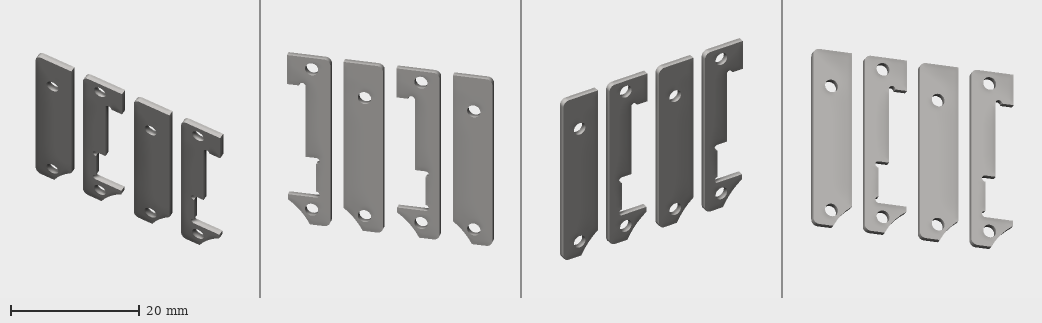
import cadquery as cq

height = 29.6
thickness = 1.0
corner_radius = 1.0
hole_diameter = 2.1
hole_x = 3.0
low_hole_z = 2.65

trim_center_x = 12.85
trim_center_z = -4.9
trim_radius = 10.75

plain_width = 6.37
plain_top_hole_z = 23.6

notched_width = 6.97
notched_top_hole_z = 27.58
foot_width = 6.85
upper_web_width = 4.0
lower_web_width = 2.28
notch_top_z = 24.45
notch_step_z = 11.92
notch_bottom_z = 4.9
relief_radius = 0.53

row_length = 33.03
notched_offset = 8.5
pair_count = 2
pair_pitch = row_length - notched_offset - notched_width


def block(x_start, x_end, z_start, z_end):
    """Full-thickness box between two X and two Z limits."""
    return cq.Workplane("XY").box(
        x_end - x_start, thickness, z_end - z_start, centered=(False, True, False)
    ).translate((x_start, 0, z_start))


def cylinder(x, z, radius):
    """Full-thickness cylinder along Y."""
    return (
        cq.Workplane("XZ", origin=(0, thickness / 2, 0))
        .center(x, z)
        .circle(radius)
        .extrude(thickness)
    )


def blank_plate(width, top_hole_z):
    """Plate with two rounded left corners, an arc-trimmed corner and two holes."""
    plate = block(0, width, 0, height).edges("|Y and <X").fillet(corner_radius)
    plate = plate.cut(cylinder(trim_center_x, trim_center_z, trim_radius))
    for hole_z in (low_hole_z, top_hole_z):
        plate = plate.cut(cylinder(hole_x, hole_z, hole_diameter / 2))
    return plate


def plain_plate():
    return blank_plate(plain_width, plain_top_hole_z)


def notched_plate():
    plate = blank_plate(notched_width, notched_top_hole_z)
    plate = plate.cut(block(upper_web_width, notched_width, notch_step_z, notch_top_z))
    plate = plate.cut(block(lower_web_width, notched_width, notch_bottom_z, notch_step_z))
    plate = plate.cut(block(foot_width, notched_width, 0, notch_bottom_z))
    relief_centers = (
        (upper_web_width + relief_radius, notch_top_z),
        (lower_web_width, notch_step_z - relief_radius),
        (lower_web_width, notch_bottom_z + relief_radius),
    )
    for x, z in relief_centers:
        plate = plate.cut(cylinder(x, z, relief_radius))
    return plate


plates = []
for pair in range(pair_count):
    pair_x = pair * pair_pitch
    plates.append(plain_plate().translate((pair_x, 0, 0)).val())
    plates.append(notched_plate().translate((pair_x + notched_offset, 0, 0)).val())

result = cq.Compound.makeCompound([plate.Solids()[0] for plate in plates])